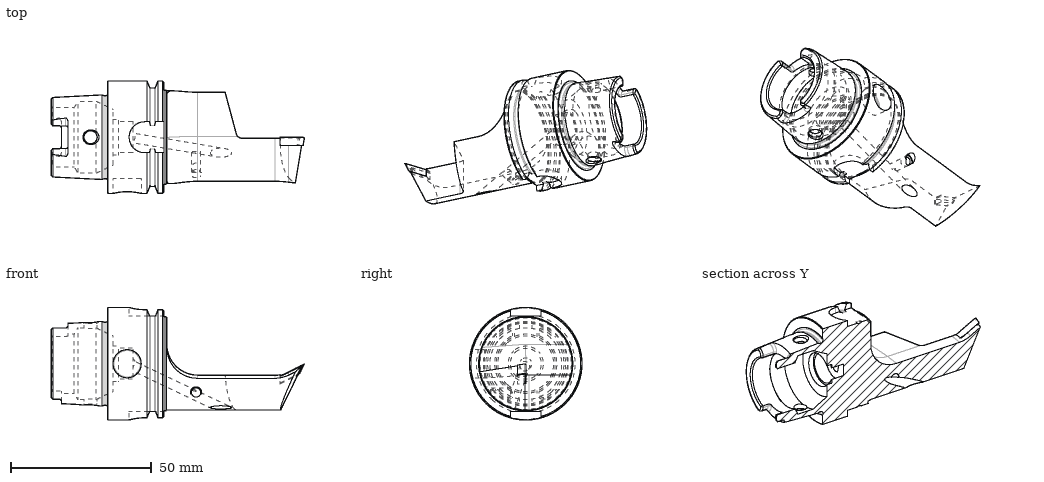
import cadquery as cq
import math


shank_length = 20.0
taper_ratio = 1 / 9.98
taper_end_x = -2.0
taper_end_radius = 15.05
tail_radius = taper_end_radius - (shank_length + taper_end_x) * taper_ratio / 2
tail_chamfer = 0.6
relief_radius = 14.8
relief_start_x = -1.2
relief_fillet = 0.75
face_relief_radius = 16.2
face_relief_depth = 0.15

flange_radius = 20.0
flange_length = 20.0
flange_front_chamfer = 0.25
flange_rear_chamfer = 0.5
groove_open = (14.05, 17.9)
groove_floor = (15.1, 16.9)
groove_radius = 17.5
groove_fillet = 0.4
collar_radius = 16.75
collar_chamfer = 0.4
collar_end_x = 21.1

keyway_width = 11.0
keyway_start_x = 7.7
keyway_floor_z = 17.0
chip_pocket_diameter = 10.0
chip_pocket_depth = 5.4
chip_pocket_fillet = 0.3
chip_pocket_x = 7.0

drive_slot_width = 8.05
drive_slot_lengths = {1: 6.0, -1: 3.65}
drive_slot_outer_fillet = 2.2
drive_slot_corner_fillet = 0.8
drive_slot_tool_z = 9.0

bore_diameter = 21.0
bore_mouth_chamfer = 0.55
clamp_cone_x = -11.8
clamp_cone_angle = 60.0
clamp_diameter = 25.5
clamp_end_x = -4.0
bore_floor_diameter = 19.8
bore_floor_x = 2.0
access_hole_diameter = 4.6
access_hole_x = -6.0
access_hole_mouth = 5.7

tube_seat_diameter = 12.5
tube_seat_end_x = 4.0
tube_thread_diameter = 11.0
tube_thread_end_x = 9.0
feed_diameter = 4.2
feed_tip_angle = 118.0
channel_diameter = 3.4
channel_start = cq.Vector(7.5, 0, 0)
channel_outlet = cq.Vector(40.2, -5.5, -15.5)

ball_x = 31.45
ball_z = -10.2
ball_diameter = 3.3
ball_mouth_diameter = 4.0
ball_mouth_depth = 0.5
cross_hole_end_y = -5.0

arm_radius = 16.5
arm_top_z = -4.0
arm_root_end_x = 32.0
arm_tilt = 4.2
arm_ridge_y = 0.25
arm_side_y = -0.3
shoulder_outer = (41.75, 16.1)
shoulder_inner = (45.8, 1.05)
shoulder_fillet = 2.0
rake_angle = 26.7
rake_root_radius = 10.8

tip_x = 69.97
insert_start_x = 61.2
insert_width = 3.0
insert_thickness = 2.5
insert_nose_radius = 0.4
insert_seat_opening = 2.0
insert_overhang = 0.4
end_slope_y = 0.09
end_slope_z = 0.49

reach = 60.0
overrun = 5.0
margin = 0.1


def x_cylinder(radius, start_x, end_x):
    """Cylinder on the spindle axis between two X positions."""
    return cq.Workplane("YZ", origin=(start_x, 0, 0)).circle(radius).extrude(end_x - start_x)


def revolve_about_x(points):
    """Solid of revolution from (x, radius) points."""
    return cq.Workplane("XY").polyline(points).close().revolve(360, (0, 0, 0), (1, 0, 0))


def rod(start, end, diameter):
    """Cylinder between two points."""
    axis = end - start
    return cq.Workplane(cq.Solid.makeCylinder(diameter / 2, axis.Length, start, axis))



def slot_section(x, length, widening):
    """Slot outline at x: straight walls that round over into the surface of the taper."""
    half_width = drive_slot_width / 2 + widening
    radius = drive_slot_outer_fillet - widening
    shank_radius = tail_radius + length * taper_ratio / 2
    arc_y = drive_slot_width / 2 + drive_slot_outer_fillet
    arc_center_radius = shank_radius - drive_slot_outer_fillet
    arc_z = math.sqrt(arc_center_radius ** 2 - arc_y ** 2)
    rim_angle = math.atan2(arc_z, arc_y)
    mid_angle = (math.pi + rim_angle) / 2
    mid_y = arc_y + radius * math.cos(mid_angle)
    mid_z = arc_z + radius * math.sin(mid_angle)
    rim_y = arc_y + radius * math.cos(rim_angle)
    rim_z = arc_z + radius * math.sin(rim_angle)
    return (
        cq.Workplane("YZ", origin=(x, 0, 0))
        .moveTo(-half_width, drive_slot_tool_z)
        .lineTo(half_width, drive_slot_tool_z)
        .lineTo(half_width, arc_z)
        .threePointArc((mid_y, mid_z), (rim_y, rim_z))
        .lineTo(rim_y, flange_radius)
        .lineTo(-rim_y, flange_radius)
        .lineTo(-rim_y, rim_z)
        .threePointArc((-mid_y, mid_z), (-half_width, arc_z))
        .close()
    )


def drive_slot(side):
    """Tool for one drive slot, with rounded inner corners and a chamfered mouth."""
    length = drive_slot_lengths[side]
    slot = slot_section(-shank_length, length, 0).extrude(length)
    half_width = drive_slot_width / 2
    corner_x = length - shank_length
    corners = cq.selectors.BoxSelector(
        (corner_x - margin, -half_width - margin, drive_slot_tool_z + margin),
        (corner_x + margin, half_width + margin, tail_radius),
    )
    slot = slot.edges("|Z").edges(corners).fillet(drive_slot_corner_fillet)
    mouth = slot_section(-shank_length, length, tail_chamfer).wires().vals()
    mouth += slot_section(-shank_length + tail_chamfer, length, 0).wires().vals()
    slot = slot.union(cq.Workplane(cq.Solid.makeLoft(mouth, True)))
    if side < 0:
        slot = slot.mirror("XY")
    return slot


def make_shank():
    fillet_start_x = face_relief_depth - relief_fillet
    fillet_mid = relief_fillet * math.sin(math.radians(45))
    fillet_top = relief_radius + relief_fillet
    shank = (
        cq.Workplane("XY")
        .moveTo(-shank_length, 0)
        .lineTo(-shank_length, tail_radius - tail_chamfer)
        .lineTo(-shank_length + tail_chamfer, tail_radius)
        .lineTo(taper_end_x, taper_end_radius)
        .lineTo(relief_start_x, relief_radius)
        .lineTo(fillet_start_x, relief_radius)
        .threePointArc(
            (fillet_start_x + fillet_mid, fillet_top - fillet_mid),
            (face_relief_depth, fillet_top),
        )
        .lineTo(face_relief_depth, 0)
        .close()
        .revolve(360, (0, 0, 0), (1, 0, 0))
    )
    for side in drive_slot_lengths:
        shank = shank.cut(drive_slot(side))
    return shank



def keyway(side):
    """Keyway with a round end and a flat floor, open at the rear of the flange."""
    radius = keyway_width / 2
    center_x = keyway_start_x + radius
    length = flange_length - center_x
    floor = cq.Workplane("XY", origin=(0, 0, side * keyway_floor_z))
    slot = floor.center(center_x, 0).circle(radius).extrude(side * flange_radius)
    straight = floor.center(center_x + length / 2, 0).rect(length, keyway_width)
    return slot.union(straight.extrude(side * flange_radius))


def make_flange():
    flange = revolve_about_x([
        (face_relief_depth, 0),
        (face_relief_depth, face_relief_radius),
        (0, face_relief_radius),
        (0, flange_radius - flange_front_chamfer),
        (flange_front_chamfer, flange_radius),
        (groove_open[0], flange_radius),
        (groove_floor[0], groove_radius),
        (groove_floor[1], groove_radius),
        (groove_open[1], flange_radius),
        (flange_length - flange_rear_chamfer, flange_radius),
        (flange_length, flange_radius - flange_rear_chamfer),
        (flange_length, collar_radius),
        (collar_end_x - collar_chamfer, collar_radius),
        (collar_end_x, collar_radius - collar_chamfer),
        (collar_end_x, 0),
    ])
    floor_ends = cq.selectors.BoxSelector(
        (groove_floor[0] - margin, -groove_radius - margin, -groove_radius - margin),
        (groove_floor[1] + margin, groove_radius + margin, groove_radius + margin),
    )
    flange = flange.edges("%CIRCLE").edges(floor_ends).fillet(groove_fillet)
    for side in (1, -1):
        flange = flange.cut(keyway(side))
    chip_floor_y = chip_pocket_depth - flange_radius
    chip_pocket = (
        cq.Workplane("XZ", origin=(chip_pocket_x, chip_floor_y, 0))
        .circle(chip_pocket_diameter / 2)
        .extrude(reach)
        .faces(">Y")
        .edges()
        .fillet(chip_pocket_fillet)
    )
    return flange.cut(chip_pocket)



def make_bore():
    """Clamping bore with the coolant tube seat and feed hole behind it."""
    mouth_radius = bore_diameter / 2 + bore_mouth_chamfer
    cone_length = (clamp_diameter - bore_diameter) / 2 / math.tan(math.radians(clamp_cone_angle))
    feed_tip_depth = feed_diameter / 2 / math.tan(math.radians(feed_tip_angle / 2))
    return revolve_about_x([
        (-shank_length, 0),
        (-shank_length, mouth_radius),
        (-shank_length + bore_mouth_chamfer, bore_diameter / 2),
        (clamp_cone_x, bore_diameter / 2),
        (clamp_cone_x + cone_length, clamp_diameter / 2),
        (clamp_end_x, clamp_diameter / 2),
        (bore_floor_x, bore_floor_diameter / 2),
        (bore_floor_x, tube_seat_diameter / 2),
        (tube_seat_end_x, tube_seat_diameter / 2),
        (tube_seat_end_x, tube_thread_diameter / 2),
        (tube_thread_end_x, tube_thread_diameter / 2),
        (tube_thread_end_x, feed_diameter / 2),
        (tube_thread_end_x + feed_tip_depth, 0),
    ])


def access_bore():
    """Clamp access hole straight through the shank."""
    start = cq.Vector(access_hole_x, 0, -flange_radius)
    end = cq.Vector(access_hole_x, 0, flange_radius)
    return rod(start, end, access_hole_diameter)


def access_countersink(side):
    """Cone that opens the access hole where it meets the taper."""
    depth = (access_hole_mouth - access_hole_diameter) / 2
    rim_z = taper_end_radius + (access_hole_x - taper_end_x) * taper_ratio / 2
    return cq.Workplane(cq.Solid.makeCone(
        access_hole_diameter / 2 - depth,
        access_hole_mouth / 2 + depth,
        3 * depth,
        cq.Vector(access_hole_x, 0, side * (rim_z - 2 * depth)),
        cq.Vector(0, 0, side),
    ))


def make_coolant_channel():
    run = channel_outlet - channel_start
    return rod(channel_start, channel_outlet + run.normalized() * overrun, channel_diameter)



def tilt(body):
    """Turn a body about the ridge line of the arm's top face."""
    ridge = (0, arm_ridge_y, arm_top_z)
    return body.rotate(ridge, (1, arm_ridge_y, arm_top_z), arm_tilt)


def rake_z(x):
    """Height of the untilted rake plane, which reaches Z = 0 at the tip."""
    return (x - tip_x) * math.tan(math.radians(rake_angle))


def top_clearance():
    """Space above the arm: root fillet, flat top face, nose fillet and rake plane."""
    angle = math.radians(rake_angle)
    root_radius = arm_root_end_x - collar_end_x
    root_mid = root_radius * (1 - math.sin(math.radians(45)))
    rake_corner_x = tip_x + arm_top_z / math.tan(angle)
    nose_start_x = rake_corner_x - rake_root_radius * math.tan(angle / 2)
    nose_mid_x = nose_start_x + rake_root_radius * math.sin(angle / 2)
    nose_mid_z = arm_top_z + rake_root_radius * (1 - math.cos(angle / 2))
    nose_end_x = nose_start_x + rake_root_radius * math.sin(angle)
    far_x = tip_x + 2 * overrun
    return (
        cq.Workplane("XZ", origin=(0, reach / 2, 0))
        .moveTo(collar_end_x, reach)
        .lineTo(collar_end_x, arm_top_z + root_radius)
        .threePointArc((collar_end_x + root_mid, arm_top_z + root_mid), (arm_root_end_x, arm_top_z))
        .lineTo(nose_start_x, arm_top_z)
        .threePointArc((nose_mid_x, nose_mid_z), (nose_end_x, rake_z(nose_end_x)))
        .lineTo(far_x, rake_z(far_x))
        .lineTo(far_x, reach)
        .close()
        .extrude(reach)
    )


def end_clearance(offset):
    """Space beyond the slanted end face, moved back along X by the offset."""
    face = cq.Plane(origin=(tip_x - offset, 0, 0), normal=(1, -end_slope_y, -end_slope_z))
    return cq.Workplane(face).rect(2 * reach, 2 * reach).extrude(reach)


def side_clearance():
    """Space beside the slim front part, ending at the slanted shoulder."""
    slope = (shoulder_inner[0] - shoulder_outer[0]) / (shoulder_inner[1] - shoulder_outer[1])
    corner_x = shoulder_inner[0] + slope * (arm_side_y - shoulder_inner[1])
    outer_y = flange_radius
    outer_x = shoulder_outer[0] + slope * (outer_y - shoulder_outer[1])
    space = (
        cq.Workplane("XY", origin=(0, 0, -reach / 2))
        .polyline([(corner_x, arm_side_y), (reach * 2, arm_side_y), (reach * 2, outer_y), (outer_x, outer_y)])
        .close()
        .extrude(reach)
    )
    corner = cq.selectors.NearestToPointSelector((corner_x, arm_side_y, 0))
    return space.edges("|Z").edges(corner).fillet(shoulder_fillet)


def make_arm():
    arm = x_cylinder(arm_radius, flange_length, tip_x + overrun)
    clearance = top_clearance()
    arm = arm.cut(clearance).cut(tilt(clearance))
    return arm.cut(side_clearance()).cut(end_clearance(insert_overhang))



def insert_blank():
    """Plate under the tilted rake plane, with its +Y side on the Y = 0 plane."""
    far_x = tip_x + overrun
    plate = (
        cq.Workplane("XZ", origin=(0, reach / 2, 0))
        .polyline([
            (insert_start_x, rake_z(insert_start_x)),
            (far_x, rake_z(far_x)),
            (far_x, rake_z(far_x) - insert_thickness),
            (insert_start_x, rake_z(insert_start_x) - insert_thickness),
        ])
        .close()
        .extrude(reach)
    )
    slab = cq.Workplane("XY").box(4 * reach, insert_width, 2 * reach).translate((0, -insert_width / 2, 0))
    return tilt(plate).intersect(slab)


def insert_pocket():
    """Seat of the insert, open above it and on the +Y side."""
    blank = insert_blank()
    lift = cq.Vector(0, 0, insert_seat_opening)
    return blank.union(blank.translate(lift))


def make_insert():
    plate = insert_blank().cut(end_clearance(0))
    nose = cq.selectors.NearestToPointSelector((tip_x, 0, -insert_thickness / 2))
    return plate.faces(">Y").edges(nose).fillet(insert_nose_radius)



def cross_hole(diameter, start_y, end_y):
    return rod(cq.Vector(ball_x, start_y, ball_z), cq.Vector(ball_x, end_y, ball_z), diameter)


ball_mouth_y = -math.sqrt(arm_radius ** 2 - ball_z ** 2)
ball_y = ball_mouth_y + ball_mouth_depth + ball_diameter / 2


def make_ball():
    return cq.Workplane("XY").sphere(ball_diameter / 2).translate((ball_x, ball_y, ball_z))



holder = make_shank().union(make_flange()).union(make_arm())
holder = holder.cut(make_bore()).cut(make_coolant_channel())
holder = holder.cut(access_bore()).cut(access_countersink(1)).cut(access_countersink(-1))
holder = holder.cut(cross_hole(ball_diameter, -flange_radius, cross_hole_end_y))
holder = holder.cut(cross_hole(ball_mouth_diameter, -flange_radius, ball_mouth_y + ball_mouth_depth))
holder = holder.cut(insert_pocket())

insert = make_insert()
ball = make_ball()

result = cq.Compound.makeCompound([holder.val(), insert.val(), ball.val()])